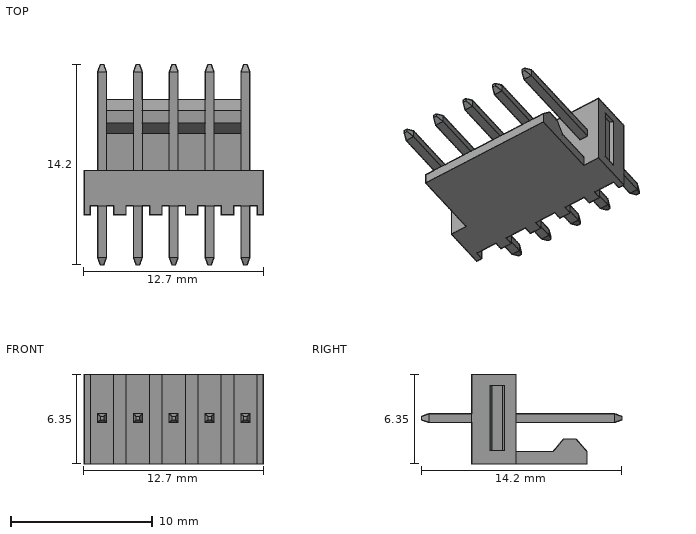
import cadquery as cq

pin_count = 5
pitch = 2.54

housing_length = pin_count * pitch
housing_height = 6.35
housing_depth = 3.15
housing_front = 0.0
housing_back = housing_front + housing_depth

channel_width = 1.65
channel_depth = 0.63

pin_size = 0.64
pin_height = 3.25
pin_length = 14.22
pin_front = -3.56
tip_length = 0.53
tip_size = 0.25

latch_length = (pin_count - 1) * pitch
latch_reach = 5.03
latch_thickness = 0.89
latch_peak_height = 1.78
latch_rear_ramp = 0.78
latch_peak_width = 0.89
latch_front_ramp = 0.74

pocket_depth = 0.254
pocket_height = 4.62
pocket_bottom = 0.94
pocket_front = 1.3
pocket_width = 1.016
pocket_wall_slope = 0.127

pin_positions = [(i - (pin_count - 1) / 2) * pitch for i in range(pin_count)]


def make_housing():
    """Rectangular block with a full-height channel in front of each pin."""
    housing = cq.Workplane("XY").box(
        housing_length, housing_depth, housing_height, centered=(True, False, False)
    ).translate((0, housing_front, 0))
    for x in pin_positions:
        channel = cq.Workplane("XY").box(
            channel_width, channel_depth, housing_height, centered=(True, False, False)
        ).translate((x, housing_front, 0))
        housing = housing.cut(channel)
    return housing


def make_end_pocket():
    """Pocket in the -X end of the housing, narrowing toward its floor."""
    end = -housing_length / 2
    floor = end + pocket_depth
    pocket_back = pocket_front + pocket_width
    return (
        cq.Workplane("XY", origin=(0, 0, pocket_bottom))
        .moveTo(end, pocket_front)
        .lineTo(floor, pocket_front + pocket_wall_slope)
        .lineTo(floor, pocket_back - pocket_wall_slope)
        .lineTo(end, pocket_back)
        .close()
        .extrude(pocket_height)
    )


def make_latch():
    """Flat arm along the bottom, with a ramped hook at its free end."""
    tip = housing_back + latch_reach
    peak_rear = tip - latch_rear_ramp
    peak_front = peak_rear - latch_peak_width
    hook_foot = peak_front - latch_front_ramp
    return (
        cq.Workplane("YZ")
        .moveTo(housing_back, 0)
        .lineTo(tip, 0)
        .lineTo(tip, latch_thickness)
        .lineTo(peak_rear, latch_peak_height)
        .lineTo(peak_front, latch_peak_height)
        .lineTo(hook_foot, latch_thickness)
        .lineTo(housing_back, latch_thickness)
        .close()
        .extrude(latch_length / 2, both=True)
    )


def make_tip(y, direction):
    """Pyramid-shaped pin tip starting at y and pointing along +Y or -Y."""
    base = cq.Plane(origin=(0, y, pin_height), xDir=(1, 0, 0), normal=(0, direction, 0))
    return (
        cq.Workplane(base)
        .rect(pin_size, pin_size)
        .workplane(offset=tip_length)
        .rect(tip_size, tip_size)
        .loft(ruled=True)
    )


def make_pin():
    """Square pin along Y with a tapered tip at each end."""
    shank_front = pin_front + tip_length
    shank_length = pin_length - 2 * tip_length
    shank = cq.Workplane("XY").box(
        pin_size, shank_length, pin_size, centered=(True, False, True)
    ).translate((0, shank_front, pin_height))
    front_tip = make_tip(shank_front, -1)
    rear_tip = make_tip(shank_front + shank_length, 1)
    return shank.union(front_tip).union(rear_tip)


end_pocket = make_end_pocket()
result = make_housing().cut(end_pocket).cut(end_pocket.mirror("YZ"))
result = result.union(make_latch())

pin = make_pin()
for pin_x in pin_positions:
    result = result.union(pin.translate((pin_x, 0, 0)))